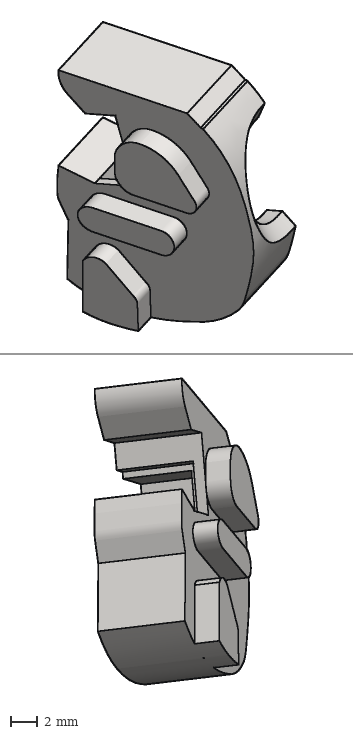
import cadquery as cq
import math

HEIGHT = 20.98
DEPTH = 7.0
PEG_HEIGHT = 2.0

AXIS_TILT = 16.1
AXIS_X = 7.35
AXIS_Z = 10.57

FLANGE_LENGTH = 3.7
FLANGE_HALF = 8.16
NOTCH_FLOOR = 1.78
LIP_REACH = 2.73

FLANGE_WALL = 0.73
COLLAR_WALL = 0.85
COLLAR_HALF = 6.06
COLLAR_END = 1.55
SLEEVE_WALL = 1.51
SLEEVE_HALF = 5.54
SLEEVE_END = 6.2

BORE_RADIUS = 4.25
BORE_INSET = 0.71
BORE_REACH = 14.69
MOUTH_CHAMFER = 1.4
MOUTH_MIN_X = 14.69
MOUTH_MAX_X = 18.88
MOUTH_BACK_GAP = 0.2


def tilted(along, across):
    """Return the X, Z of a point given along and across the tilted axis."""
    tilt = math.radians(AXIS_TILT)
    x = AXIS_X + along * math.cos(tilt) - across * math.sin(tilt)
    z = AXIS_Z + along * math.sin(tilt) + across * math.cos(tilt)
    return x, z


def body_outline():
    """Closed C-shaped outline with the tilted notch on the left."""
    return (
        cq.Workplane("XZ")
        .moveTo(0.1, HEIGHT)
        .lineTo(11.4, HEIGHT)
        .lineTo(12.59, 20.04)
        .lineTo(12.8, 19.97)
        .spline(
            [(15.42, 16.7), (16.78, 12.9), (17.22, 10.07), (16.97, 7.3), (16.5, 5.08)],
            includeCurrent=True,
        )
        .threePointArc((16.25, 4.36), (15.9, 3.71))
        .threePointArc((14.25, 2.2), (11.94, 1.13))
        .threePointArc((8.65, 0.25), (5.75, 0))
        .threePointArc((3.15, 0.31), (0.85, 1.2))
        .lineTo(0.97, 6.85)
        .lineTo(0.17, 8.43)
        .tangentArcPoint((0, 9.15), relative=False)
        .lineTo(0, 10.62)
        .lineTo(0.1, 11.81)
        .lineTo(*tilted(-FLANGE_LENGTH, NOTCH_FLOOR))
        .lineTo(*tilted(0, NOTCH_FLOOR))
        .lineTo(*tilted(0, FLANGE_HALF))
        .lineTo(*tilted(-LIP_REACH, FLANGE_HALF))
        .lineTo(0.9, 18.97)
        .threePointArc((0.25, 19.89), (0.1, HEIGHT))
        .close()
    )


def cavity_step(start, end, half_height, front_wall):
    """Box along the tilted axis, open at the back of the body."""
    corners = [
        tilted(start, -half_height),
        tilted(end, -half_height),
        tilted(end, half_height),
        tilted(start, half_height),
    ]
    return (
        cq.Workplane("XZ", origin=(0, front_wall, 0))
        .polyline(corners)
        .close()
        .extrude(front_wall - DEPTH)
    )


def bore():
    """U-shaped channel along the tilted axis, round toward the front."""
    tilt = math.radians(AXIS_TILT)
    start_x, start_z = tilted(COLLAR_END, 0)
    section = cq.Plane(
        origin=(start_x, DEPTH - BORE_INSET, start_z),
        xDir=(0, 1, 0),
        normal=(math.cos(tilt), 0, math.sin(tilt)),
    )
    return (
        cq.Workplane(section)
        .moveTo(BORE_INSET, BORE_RADIUS)
        .lineTo(0, BORE_RADIUS)
        .threePointArc((-BORE_RADIUS, 0), (0, -BORE_RADIUS))
        .lineTo(BORE_INSET, -BORE_RADIUS)
        .close()
        .extrude(BORE_REACH)
    )


def teardrop_peg():
    return (
        cq.Workplane("XZ")
        .moveTo(6.15, 16.36)
        .lineTo(6.15, 14.8)
        .tangentArcPoint((7.7, 13.11), relative=False)
        .lineTo(12.46, 13.11)
        .tangentArcPoint((13.13, 14.52), relative=False)
        .lineTo(11.73, 16.47)
        .tangentArcPoint((8.35, 18.23), relative=False)
        .tangentArcPoint((6.15, 16.36), relative=False)
        .close()
        .extrude(PEG_HEIGHT)
    )


def slot_peg():
    left_x, right_x, middle_z = 4.25, 10.22, 9.42
    half_height = 1.15
    nose = 1.36
    bar = (
        cq.Workplane("XZ")
        .center((left_x + right_x) / 2, middle_z)
        .rect(right_x - left_x, 2 * half_height)
        .extrude(PEG_HEIGHT)
    )
    left_end = cq.Workplane("XZ").center(left_x, middle_z).ellipse(nose, half_height).extrude(PEG_HEIGHT)
    right_end = cq.Workplane("XZ").center(right_x, middle_z).circle(half_height).extrude(PEG_HEIGHT)
    return bar.union(left_end).union(right_end)


def foot_peg():
    """Pointed peg whose lower end follows the body outline."""
    blank = (
        cq.Workplane("XZ")
        .moveTo(3.34, 0)
        .lineTo(3.34, 5.12)
        .threePointArc((4.65, 5.87), (5.37, 5.62))
        .lineTo(7.76, 3.42)
        .threePointArc((8.05, 3.1), (8.15, 2.7))
        .lineTo(8.22, 0)
        .close()
        .extrude(PEG_HEIGHT)
    )
    return blank.intersect(body_outline().extrude(PEG_HEIGHT))


def chamfer_mouth(body):
    """Widen the bore where it breaks out through the rounded +X side."""
    lower_corner = (MOUTH_MIN_X, SLEEVE_WALL, AXIS_Z - BORE_RADIUS)
    upper_corner = (MOUTH_MAX_X, DEPTH - MOUTH_BACK_GAP, AXIS_Z + FLANGE_HALF)
    mouth = body.edges(cq.selectors.BoxSelector(lower_corner, upper_corner))
    return mouth.chamfer(MOUTH_CHAMFER)


body = chamfer_mouth(body_outline().extrude(-DEPTH).cut(bore()))
body = body.cut(cavity_step(-FLANGE_LENGTH, 0, FLANGE_HALF, FLANGE_WALL))
body = body.cut(cavity_step(0, COLLAR_END, COLLAR_HALF, COLLAR_WALL))
body = body.cut(cavity_step(COLLAR_END, SLEEVE_END, SLEEVE_HALF, SLEEVE_WALL))

result = body.union(teardrop_peg()).union(slot_peg()).union(foot_peg())